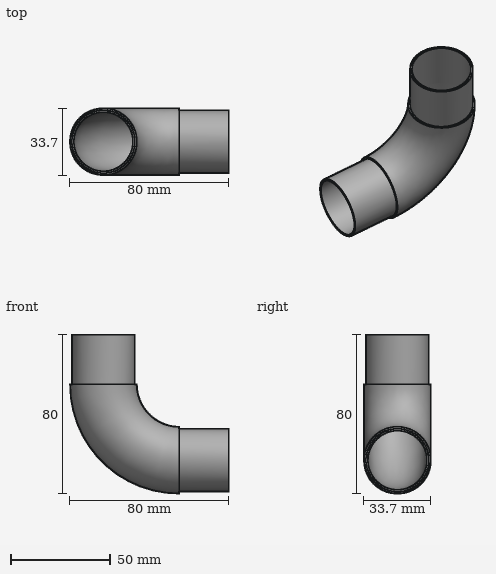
import cadquery as cq

bend_diameter = 33.7
spigot_diameter = 31.7
bore_diameter = 29.7
spigot_length = 25.0
overall_length = 80.0

bend_radius = overall_length - spigot_length - bend_diameter / 2


def bend(diameter):
    """Solid quarter torus from the top opening (+Z) round to the side opening (+X)."""
    return (
        cq.Workplane("XY")
        .circle(diameter / 2)
        .revolve(90, (bend_radius, 0, 0), (bend_radius, -1, 0))
    )


def straight_ends(diameter):
    """Solid cylinders continuing the centreline at both ends of the bend."""
    upright = cq.Workplane("XY").circle(diameter / 2).extrude(spigot_length)
    level = (
        cq.Workplane("YZ", origin=(bend_radius, 0, -bend_radius))
        .circle(diameter / 2)
        .extrude(spigot_length)
    )
    return upright, level


def elbow(bend_size, end_size):
    """Solid elbow with separate diameters for the bend and its straight ends."""
    upright, level = straight_ends(end_size)
    return bend(bend_size).union(upright).union(level)


outside = elbow(bend_diameter, spigot_diameter)
bore = elbow(bore_diameter, bore_diameter)
result = outside.cut(bore)